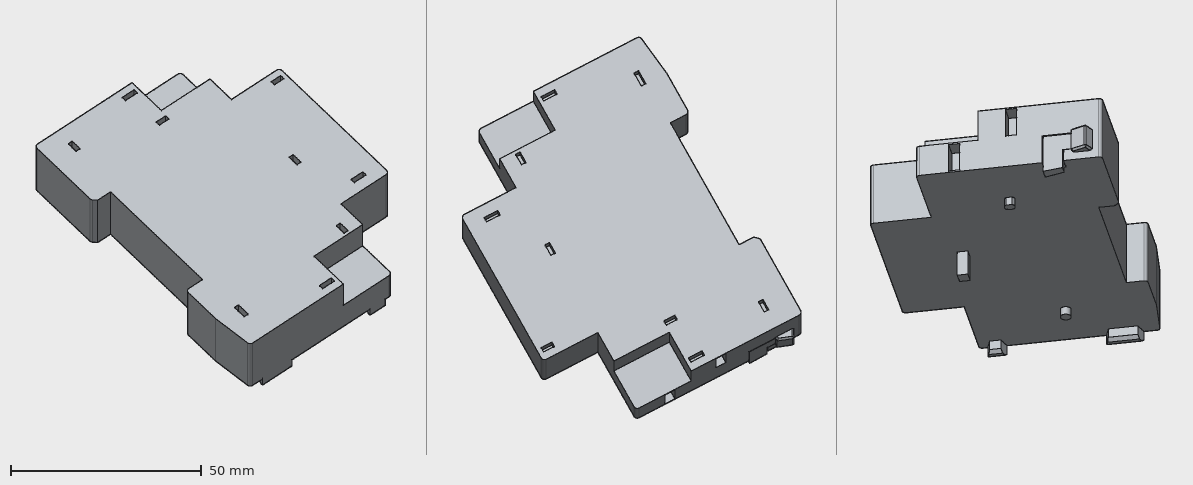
import cadquery as cq

overall_length = 89.3

body_length = 87.0
body_width = 66.0
body_thickness = 18.0
corner_radius = 1.0

block_left = 20.9
block_right = 66.0
shoulder_y = 49.7

notch_left = 24.5
notch_right = 62.3
notch_depth = 5.6
notch_chamfer = 1.25
slope_start = 74.6
slope_rise = 1.4

terminal_length = 12.1
terminal_y = 33.1
terminal_floor = body_thickness / 2

slot_width = 1.3
slot_depth = 2.7
short_slot = 3.2
long_slot = 4.0
short_slots_along_y = [(23.7, 63.05), (14.8, 31.3)]
long_slots_along_y = [(62.1, 58.85), (2.9, 30.0), (84.0, 30.0)]
short_slots_along_x = [(47.0, 49.75), (72.4, 44.7), (6.7, 7.95)]
long_slots_along_x = [(76.8, 6.9)]

window_width = 2.95
window_height = 8.1
window_depth = 4.5
windows = [(39.5, terminal_floor / 2), (24.3, (body_thickness + terminal_floor) / 2)]

post_x, post_y = 40.6, 44.8
post_size_x, post_size_y = 3.2, 2.9
post_height = 7.15
pin_diameter = 2.9
pin_height = 2.3
round_pin_x, round_pin_y = 72.3, 23.8
flat_pin_x, flat_pin_y = 16.25, 27.8
flat_pin_thickness = 2.3

lugs = [(44.8, 5.2), (10.7, 10.0)]
lug_length = 3.1
lug_height = 3.5
lug_taper = 1.1
lug_chamfer_x = 1.0
lug_chamfer_z = 0.9

latch_far_y = 15.7
latch_near_y = 10.5
latch_top = 8
latch_arm_bottom = 3.4
latch_gap = 0.3
latch_arm_gap = 0.1
latch_far_depth, latch_near_depth = 2.95, 2.3
latch_far_drop, latch_near_drop = 2.7, 2.1

lever_reach = overall_length - body_length
lever_shoulder = 1.0
lever_far_y = 8
lever_tip_y = 4.0
lever_near_y = 2.6
lever_bottom = 2.2
lever_height = 6.9
lever_root = 0.9
lever_chamfer = 0.5
lever_tip_flat = 0.5


def box(x_range, y_range, z_range):
    """Box between pairs of limits."""
    ranges = (x_range, y_range, z_range)
    sizes = [high - low for low, high in ranges]
    return cq.Workplane().box(*sizes, centered=False).translate(tuple(low for low, high in ranges))


def housing():
    plate = (
        cq.Workplane()
        .polyline([
            (0, 0),
            (notch_left - notch_chamfer, 0),
            (notch_left, notch_chamfer),
            (notch_left, notch_depth),
            (notch_right, notch_depth),
            (notch_right, 0),
            (slope_start, 0),
            (body_length, slope_rise),
            (body_length, shoulder_y),
            (block_right, shoulder_y),
            (block_right, body_width),
            (block_left, body_width),
            (block_left, shoulder_y),
            (0, shoulder_y),
        ])
        .close()
        .extrude(body_thickness)
    )
    rounded_corners = [
        (0, 0),
        (notch_left - notch_chamfer, 0),
        (notch_right, 0),
        (body_length, slope_rise),
        (body_length, shoulder_y),
        (block_right, body_width),
        (block_left, body_width),
        (0, shoulder_y),
    ]
    for x, y in rounded_corners:
        nearest_edge = cq.selectors.NearestToPointSelector((x, y, body_thickness / 2))
        plate = plate.edges(nearest_edge).fillet(corner_radius)
    for left in (0, body_length - terminal_length):
        step = box(
            (left, left + terminal_length), (terminal_y, shoulder_y), (terminal_floor, body_thickness)
        )
        plate = plate.cut(step)
    return plate


def slots(centres, size_x, size_y):
    return (
        cq.Workplane(origin=(0, 0, body_thickness - slot_depth))
        .pushPoints(centres)
        .rect(size_x, size_y)
        .extrude(slot_depth)
    )


def window_cuts():
    return cq.Workplane("YZ").pushPoints(windows).rect(window_width, window_height).extrude(window_depth)


def post():
    return cq.Workplane().center(post_x, post_y).rect(post_size_x, post_size_y).extrude(-post_height)


def round_pin(x, y):
    return cq.Workplane().center(x, y).circle(pin_diameter / 2).extrude(-pin_height)


def flat_pin(x, y):
    """Round pin with two flats that face -X and +X."""
    flats = cq.Workplane().center(x, y).rect(flat_pin_thickness, pin_diameter).extrude(-pin_height)
    return round_pin(x, y).intersect(flats)


def lug(centre_y, width):
    """Lug that narrows toward -X, with both lower long edges chamfered."""
    inner_x = body_length - lug_length
    half_width = width / 2
    narrow_half_width = half_width - lug_taper
    tapered = (
        cq.Workplane()
        .polyline([
            (inner_x, centre_y - narrow_half_width),
            (body_length, centre_y - half_width),
            (body_length, centre_y + half_width),
            (inner_x, centre_y + narrow_half_width),
        ])
        .close()
        .extrude(-lug_height)
    )
    profile = (
        cq.Workplane("XZ", origin=(0, centre_y, 0))
        .polyline([
            (inner_x, 0),
            (inner_x, lug_chamfer_z - lug_height),
            (inner_x + lug_chamfer_x, -lug_height),
            (body_length - lug_chamfer_x, -lug_height),
            (body_length, lug_chamfer_z - lug_height),
            (body_length, 0),
        ])
        .close()
        .extrude(half_width, both=True)
    )
    return tapered.intersect(profile)


def latch_recess():
    """Recess that leaves narrow gaps around the leg and above and below the arm, and behind both."""
    far_y = latch_far_y + latch_gap
    top = latch_top + latch_gap
    depth = latch_far_depth + latch_gap
    leg_room = box((0, depth), (latch_near_y - latch_gap, far_y), (0, latch_arm_bottom))
    arm_room = box((0, depth), (lever_far_y, far_y), (latch_arm_bottom - latch_arm_gap, top))
    return leg_room.union(arm_room)


def latch():
    """Leg that tapers toward -Y, joined to an arm that ends under the lever."""
    leg = (
        cq.Workplane("XZ", origin=(0, latch_far_y, 0))
        .polyline([
            (0, -latch_far_drop),
            (latch_far_depth, -latch_far_drop),
            (latch_far_depth, latch_top),
            (0, latch_top),
        ])
        .close()
        .workplane(offset=latch_far_y - latch_near_y)
        .polyline([
            (0, -latch_near_drop),
            (latch_near_depth, -latch_near_drop),
            (latch_near_depth, latch_top),
            (0, latch_top),
        ])
        .close()
        .loft(ruled=True)
    )
    arm = box((0, latch_near_depth), (lever_far_y, latch_near_y), (latch_arm_bottom, latch_top))
    return leg.union(arm)


def lever():
    wedge = (
        cq.Workplane(origin=(0, 0, lever_bottom))
        .polyline([
            (lever_root, lever_far_y),
            (-lever_shoulder, lever_far_y),
            (-lever_reach, lever_tip_y + lever_tip_flat / 2),
            (-lever_reach, lever_tip_y - lever_tip_flat / 2),
            (0, lever_near_y),
            (lever_root, lever_near_y),
        ])
        .close()
        .extrude(lever_height)
    )
    return wedge.faces("|Z").chamfer(lever_chamfer)


result = housing()
for cutter in (
    slots(short_slots_along_y, slot_width, short_slot),
    slots(long_slots_along_y, slot_width, long_slot),
    slots(short_slots_along_x, short_slot, slot_width),
    slots(long_slots_along_x, long_slot, slot_width),
    window_cuts(),
    latch_recess(),
):
    result = result.cut(cutter)

additions = [post(), round_pin(round_pin_x, round_pin_y), flat_pin(flat_pin_x, flat_pin_y), latch(), lever()]
additions += [lug(centre_y, width) for centre_y, width in lugs]
for addition in additions:
    result = result.union(addition)